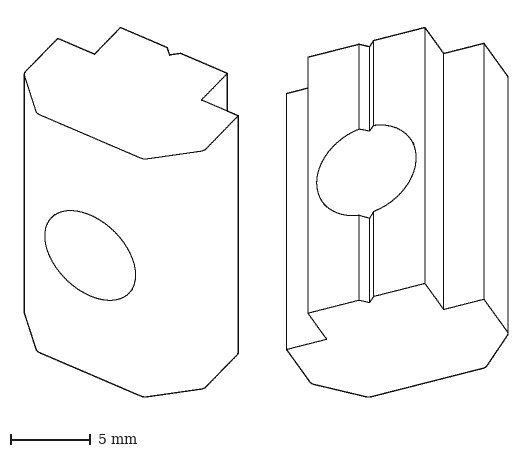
import cadquery as cq

length = 20.0
flange_width = 13.5
neck_width = 8.0
total_depth = 9.7
neck_depth = 3.0
edge_radius = 0.5
notch_depth = 0.5
hole_diameter = 6.8

bevel = (flange_width - neck_width) / 2
half_flange = flange_width / 2
half_neck = neck_width / 2
front_y = -total_depth / 2
back_y = total_depth / 2
shoulder_y = back_y - neck_depth
bevel_y = front_y + bevel


def make_body():
    """Extrude the T profile and round the four bevel edges."""
    profile = [
        (-half_neck, front_y),
        (half_neck, front_y),
        (half_flange, bevel_y),
        (half_flange, shoulder_y),
        (half_neck, shoulder_y),
        (half_neck, back_y),
        (-half_neck, back_y),
        (-half_neck, shoulder_y),
        (-half_flange, shoulder_y),
        (-half_flange, bevel_y),
    ]
    body = cq.Workplane("XY").polyline(profile).close().extrude(length)
    bevel_edges = body.edges("|Z").filter(lambda edge: edge.Center().y < (bevel_y + shoulder_y) / 2)
    return bevel_edges.fillet(edge_radius)


def make_notch():
    """Right-angled V groove along the middle of the neck's back face."""
    profile = [
        (-notch_depth, back_y),
        (0, back_y - notch_depth),
        (notch_depth, back_y),
    ]
    return cq.Workplane("XY").polyline(profile).close().extrude(length)


def make_hole():
    """Through hole along Y, centred on the length."""
    return (
        cq.Workplane("XZ", origin=(0, 0, length / 2))
        .circle(hole_diameter / 2)
        .extrude(total_depth, both=True)
    )


result = make_body().cut(make_notch()).cut(make_hole())